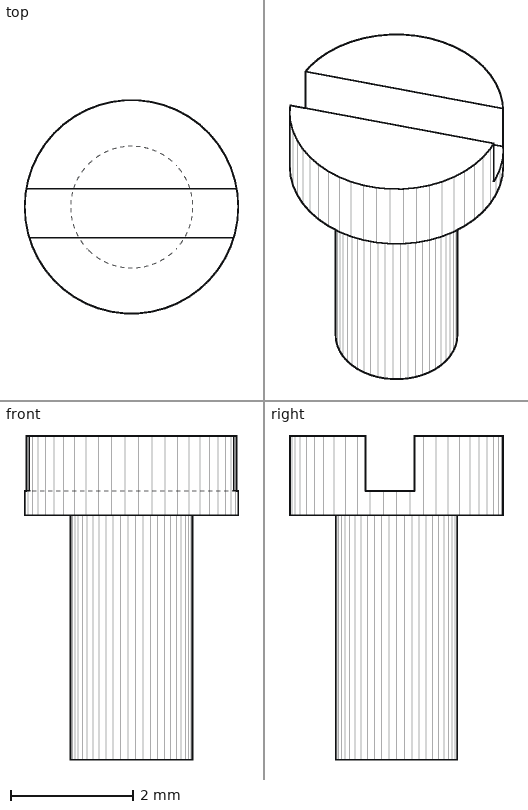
import cadquery as cq

total_height = 5.3
head_diameter = 3.5
head_height = 1.3
shank_diameter = 2.0
shank_length = total_height - head_height

side_count = 50

slot_width = 0.8
slot_depth = 0.9
slot_offset_y = -0.105


def faceted_cylinder(diameter, base_z, height):
    """Upright regular prism about the Z axis, with a corner on the +X side."""
    return (
        cq.Workplane("XY")
        .workplane(offset=base_z)
        .polygon(side_count, diameter)
        .extrude(height)
    )


def slot_cutter():
    """Block for the slot, open at the top and at both ends."""
    return (
        cq.Workplane("XY")
        .workplane(offset=total_height - slot_depth)
        .center(0, slot_offset_y)
        .rect(head_diameter, slot_width)
        .extrude(slot_depth)
    )


shank = faceted_cylinder(shank_diameter, 0, shank_length)
head = faceted_cylinder(head_diameter, shank_length, head_height)

result = shank.union(head).cut(slot_cutter())